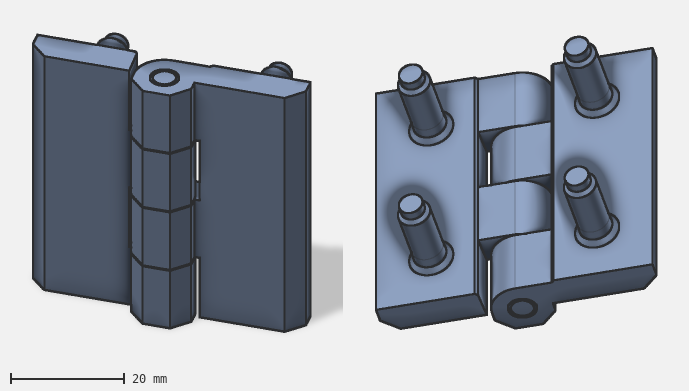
import cadquery as cq
import math


half_width = 25.0
leaf_height = 50.0
plate_thickness = 6.0
edge_chamfer = 3.0
wall_front_x = 6.45
wall_back_x = 6.65
back_bevel = 0.5

knuckle_radius = 5.5
knuckle_front_y = -5.0
knuckle_chamfer = 3.0
knuckle_count = 4
knuckle_pitch = leaf_height / knuckle_count
knuckle_gap = 0.2
knuckle_length = knuckle_pitch - knuckle_gap
leaf_middle_z = knuckle_gap / 2
leaf_bottom_z = leaf_middle_z - leaf_height / 2

pin_diameter = 5.1
pin_chamfer = 0.5
pin_length = leaf_height - knuckle_gap

stud_x = 15.0
stud_offset_z = 15.0
stud_length = 15.0
stud_tip_diameter = 4.3
stud_tip_length = 1.75
stud_diameter = 5.85
stud_neck_diameter = 6.0
stud_neck_end = 3.0
stud_base_diameter = 8.0


def extrude_profile(profile, bottom_z, height):
    """Raise a closed XY profile from the given Z level."""
    return profile.extrude(height).translate((0, 0, bottom_z))


def make_plate():
    knuckle_back_y = plate_thickness - back_bevel
    profile = (
        cq.Workplane("XY")
        .moveTo(-half_width, plate_thickness)
        .lineTo(-wall_back_x - back_bevel, plate_thickness)
        .lineTo(-wall_back_x, knuckle_back_y)
        .lineTo(-wall_front_x, 0)
        .lineTo(-half_width + edge_chamfer, 0)
        .lineTo(-half_width, plate_thickness - edge_chamfer)
        .close()
    )
    return extrude_profile(profile, leaf_bottom_z, leaf_height)


def make_knuckle(bottom_z):
    """Knuckle with its web to the notch wall: rounded at the back, chamfered in front."""
    arc_mid = knuckle_radius * math.sqrt(0.5)
    flat_half_width = knuckle_radius - knuckle_chamfer
    chamfer_top_y = knuckle_front_y + knuckle_chamfer
    profile = (
        cq.Workplane("XY")
        .moveTo(-wall_back_x, knuckle_radius)
        .lineTo(0, knuckle_radius)
        .threePointArc((arc_mid, arc_mid), (knuckle_radius, 0))
        .lineTo(knuckle_radius, chamfer_top_y)
        .lineTo(flat_half_width, knuckle_front_y)
        .lineTo(-flat_half_width, knuckle_front_y)
        .lineTo(-knuckle_radius, chamfer_top_y)
        .lineTo(-knuckle_radius, 0)
        .lineTo(-wall_front_x, 0)
        .close()
    )
    return extrude_profile(profile, bottom_z, knuckle_length)


def make_stud(z):
    """Stepped stud standing on the plate back, revolved about a line along Y."""
    base_height = (stud_base_diameter - stud_neck_diameter) / 2
    tip_start = stud_length - stud_tip_length
    tip_bevel = (stud_diameter - stud_tip_diameter) / 2
    half_profile = (
        cq.Workplane("XY")
        .moveTo(0, 0)
        .lineTo(stud_base_diameter / 2, 0)
        .lineTo(stud_neck_diameter / 2, base_height)
        .lineTo(stud_diameter / 2, stud_neck_end)
        .lineTo(stud_diameter / 2, tip_start - tip_bevel)
        .lineTo(stud_tip_diameter / 2, tip_start)
        .lineTo(stud_tip_diameter / 2, stud_length)
        .lineTo(0, stud_length)
        .close()
    )
    stud = half_profile.revolve(360, (0, 0, 0), (0, 1, 0))
    return stud.translate((-stud_x, plate_thickness, z))


def make_leaf():
    """Left leaf; its knuckles fill every second place from the bottom up."""
    leaf = make_plate()
    for place in range(0, knuckle_count, 2):
        leaf = leaf.union(make_knuckle(leaf_bottom_z + place * knuckle_pitch))
    for z in (leaf_middle_z - stud_offset_z, leaf_middle_z + stud_offset_z):
        leaf = leaf.union(make_stud(z))
    pin_hole = cq.Workplane("XY").circle(pin_diameter / 2).extrude(leaf_height, both=True)
    return leaf.cut(pin_hole)


def make_pin():
    pin = cq.Workplane("XY").circle(pin_diameter / 2).extrude(pin_length / 2, both=True)
    return pin.faces("|Z").chamfer(pin_chamfer)


left_leaf = make_leaf()
right_leaf = make_leaf().rotate((0, 0, 0), (0, 1, 0), 180)
pin = make_pin()

result = cq.Compound.makeCompound([left_leaf.val(), right_leaf.val(), pin.val()])